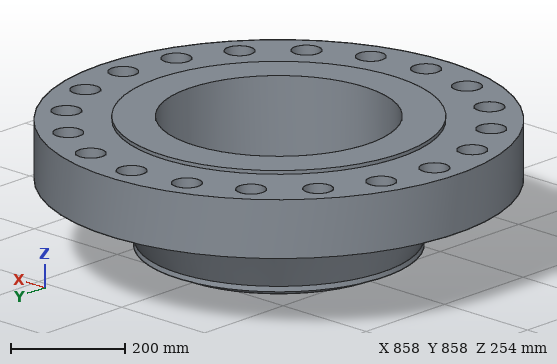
import cadquery as cq

flange_radius = 429.0
flange_thickness = 109.0
face_radius = 292.0
face_height = 7.0

bolt_count = 20
bolt_circle_radius = 375.0
bolt_hole_diameter = 54.0

total_height = 254.0
bore_radius = 216.0
hub_root_radius = 313.0
root_blend_width = 6.0
root_blend_height = 8.0
lip_radius = 255.0
lip_height = 9.5
hub_end_radius = 253.0
bevel_height = 16.0
bevel_outer_radius = 233.0
weld_tip_radius = 219.0

face_bottom = total_height - face_height
flange_bottom = face_bottom - flange_thickness
hub_top = flange_bottom - root_blend_height
lip_top = bevel_height + lip_height

hub_top_radius = hub_root_radius - root_blend_width
blend_middle = (hub_top_radius + root_blend_width * 0.4, hub_top + root_blend_height * 0.6)


def make_body():
    """Revolve the half section, bore included, about the Z axis."""
    return (
        cq.Workplane("XZ")
        .moveTo(bore_radius, 0)
        .lineTo(weld_tip_radius, 0)
        .lineTo(bevel_outer_radius, bevel_height)
        .lineTo(lip_radius, bevel_height)
        .lineTo(hub_end_radius, lip_top)
        .lineTo(hub_top_radius, hub_top)
        .threePointArc(blend_middle, (hub_root_radius, flange_bottom))
        .lineTo(flange_radius, flange_bottom)
        .lineTo(flange_radius, face_bottom)
        .lineTo(face_radius, face_bottom)
        .lineTo(face_radius, total_height)
        .lineTo(bore_radius, total_height)
        .close()
        .revolve(360, (0, 0, 0), (0, 1, 0))
    )


def make_bolt_holes():
    """Cylinders on the bolt circle, the first one on the +X axis."""
    return (
        cq.Workplane("XY")
        .workplane(offset=flange_bottom)
        .polarArray(bolt_circle_radius, 0, 360, bolt_count)
        .circle(bolt_hole_diameter / 2)
        .extrude(flange_thickness)
    )


result = make_body().cut(make_bolt_holes())